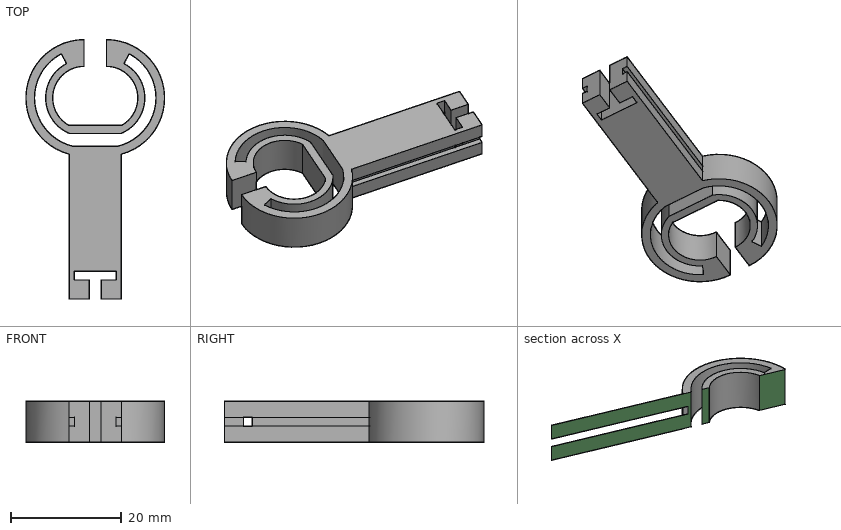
import cadquery as cq
import math

total_length = 47.1
total_width = 25.2
thickness = 7.5

gap_width = 4.0
center_offset = gap_width / 2
ring_radius = total_width / 2 - center_offset
channel_outer_radius = 9.0
channel_inner_radius = 7.0
bore_radius = 5.7
channel_floor_y = -8.75
inner_wall_bottom_y = -6.5
bore_floor_y = -4.95
channel_end_angle = 27.5

handle_width = 9.5
tip_y = ring_radius - total_length
groove_height = 1.55
groove_depth = 1.0
groove_run_in = 1.0

lip_length = 3.5
cross_height = 1.55
cross_width = handle_width - 2 * groove_depth
stem_width = 2.1


def plate(outline):
    """Extrude a closed outline through the full thickness."""
    return outline.extrude(thickness / 2, both=True)


def block(width, y_low, y_high):
    """Full-thickness block centred on X."""
    outline = cq.Workplane("XY").center(0, (y_low + y_high) / 2).rect(width, y_high - y_low)
    return plate(outline)


def split_disc(radius, floor_y=None):
    """Disc made of two spread arcs, cut flat at floor_y if one is given."""
    lower_y = -radius if floor_y is None else floor_y
    arc_end_x = center_offset + math.sqrt(radius**2 - lower_y**2)
    side_x = center_offset + radius
    outline = (
        cq.Workplane("XY")
        .moveTo(-center_offset, radius)
        .lineTo(center_offset, radius)
        .threePointArc((side_x, 0), (arc_end_x, lower_y))
        .lineTo(-arc_end_x, lower_y)
        .threePointArc((-side_x, 0), (-center_offset, radius))
        .close()
    )
    return plate(outline)


def channel_end_stop():
    """Wedge that closes the top of the channel along radial faces."""
    reach_y = ring_radius
    reach_x = center_offset + reach_y * math.tan(math.radians(channel_end_angle))
    outline = cq.Workplane("XY").polyline(
        [(-center_offset, 0), (center_offset, 0), (reach_x, reach_y), (-reach_x, reach_y)]
    ).close()
    return plate(outline)


def ring_channel():
    """Slot separating the outer ring from the inner wall."""
    outer = split_disc(channel_outer_radius, channel_floor_y)
    inner = split_disc(channel_inner_radius, inner_wall_bottom_y)
    return outer.cut(inner).cut(channel_end_stop())


def side_grooves():
    """Grooves along both handle sides, running a short way into the ring."""
    junction_x = handle_width / 2 - center_offset
    junction_y = -math.sqrt(ring_radius**2 - junction_x**2)
    length = junction_y + groove_run_in - tip_y
    floor_to_center = cross_width / 2 + groove_depth / 2
    return (
        cq.Workplane("XY")
        .pushPoints([(side * floor_to_center, tip_y + length / 2) for side in (-1, 1)])
        .box(groove_depth, length, groove_height)
    )


def t_slot():
    """T-shaped slot open at the handle tip."""
    cross_y = tip_y + lip_length
    stem = block(stem_width, tip_y, cross_y)
    return stem.union(block(cross_width, cross_y, cross_y + cross_height))


handle = block(handle_width, tip_y, channel_floor_y)
body = split_disc(ring_radius).union(handle)
body = body.cut(ring_channel())
body = body.cut(split_disc(bore_radius, bore_floor_y))
body = body.cut(block(gap_width, 0, ring_radius))
body = body.cut(side_grooves())
result = body.cut(t_slot())